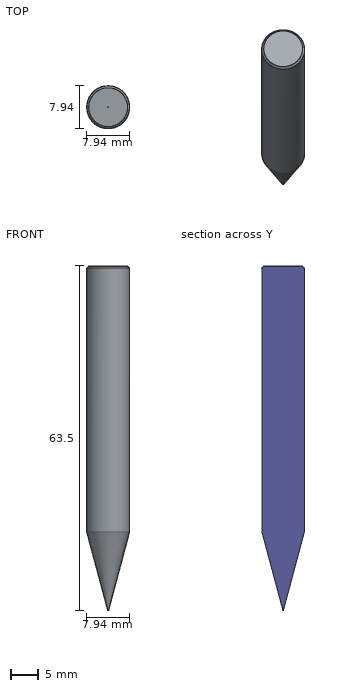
import cadquery as cq
import math

INCH = 25.4
diameter = 5 / 16 * INCH
overall_length = 2.5 * INCH
point_angle = 30.0
tip_diameter = 0.18
end_chamfer = 0.015 * INCH

radius = diameter / 2
tip_radius = tip_diameter / 2
point_length = (radius - tip_radius) / math.tan(math.radians(point_angle / 2))

half_profile = (
    cq.Workplane("XZ")
    .moveTo(0, 0)
    .lineTo(-tip_radius, 0)
    .lineTo(-radius, point_length)
    .lineTo(-radius, overall_length - end_chamfer)
    .lineTo(-radius + end_chamfer, overall_length)
    .lineTo(0, overall_length)
    .close()
)

result = half_profile.revolve(360, (0, 0, 0), (0, 1, 0))